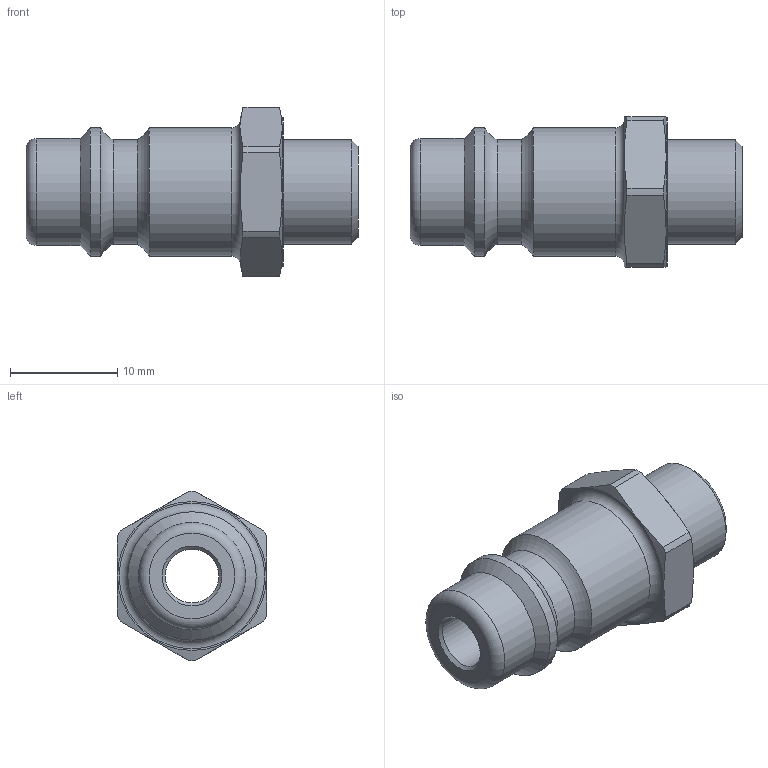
import cadquery as cq
import math

total_length = 31.0
nose_end = 5.05
collar_start = 6.0
collar_end = 6.95
groove_start = 8.15
groove_end = 10.4
body_start = 11.5
hex_start = 20.0
hex_end = 23.93
seat_face = 24.0

nose_radius = 5.0
body_radius = 6.0
groove_radius = 9.75 / 2
thread_radius = 9.73 / 2
bore_radius = 5.0 / 2

nose_rounding = 1.0
flank_arc_radius = 3.0
body_fillet = 0.8
thread_chamfer = 0.63
bore_chamfer = 0.3

across_flats = 14.0
corner_radius = 7.9
hex_face_radius = 6.95
hex_chamfer_angle = 15.0
hex_chamfer_depth = (corner_radius - hex_face_radius) * math.tan(math.radians(hex_chamfer_angle))


def revolve_about_x(outline):
    """Close an XY outline and turn it a full revolution about the X axis."""
    return outline.close().revolve(360, (0, 0, 0), (1, 0, 0))


def middle_of_concave_arc(start, end, radius):
    """Midpoint of an arc between two outline points that sags toward the axis."""
    chord = math.dist(start, end)
    sag = radius - math.sqrt(radius**2 - (chord / 2) ** 2)
    rise = end[1] - start[1]
    run = end[0] - start[0]
    return (
        (start[0] + end[0]) / 2 + sag * rise / chord,
        (start[1] + end[1]) / 2 - sag * run / chord,
    )


def make_turned_body():
    """Nose, collar, locking groove, body, hexagon seat and plain thread spigot."""
    collar_edge = (collar_end, body_radius)
    groove_left = (groove_start, groove_radius)
    groove_right = (groove_end, groove_radius)
    body_edge = (body_start, body_radius)
    arc_offset = 1 - math.sqrt(0.5)
    outline = (
        cq.Workplane("XY")
        .moveTo(0, 0)
        .lineTo(0, nose_radius - nose_rounding)
        .threePointArc(
            (nose_rounding * arc_offset, nose_radius - nose_rounding * arc_offset),
            (nose_rounding, nose_radius),
        )
        .lineTo(nose_end, nose_radius)
        .lineTo(collar_start, body_radius)
        .lineTo(*collar_edge)
        .threePointArc(middle_of_concave_arc(collar_edge, groove_left, flank_arc_radius), groove_left)
        .lineTo(*groove_right)
        .threePointArc(middle_of_concave_arc(groove_right, body_edge, flank_arc_radius), body_edge)
        .lineTo(hex_start - body_fillet, body_radius)
        .threePointArc(
            (hex_start - body_fillet * arc_offset, body_radius + body_fillet * arc_offset),
            (hex_start, body_radius + body_fillet),
        )
        .lineTo(hex_start, hex_face_radius)
        .lineTo(seat_face, hex_face_radius)
        .lineTo(seat_face, thread_radius)
        .lineTo(total_length - thread_chamfer, thread_radius)
        .lineTo(total_length, thread_radius - thread_chamfer)
        .lineTo(total_length, 0)
    )
    return revolve_about_x(outline)


def make_hexagon():
    """Hexagon with corners pointing along Z, rounded and chamfered on both faces."""
    prism = (
        cq.Workplane("YZ", origin=(hex_start, 0, 0))
        .polygon(6, across_flats, circumscribed=True)
        .extrude(hex_end - hex_start)
    )
    envelope = revolve_about_x(
        cq.Workplane("XY")
        .moveTo(hex_start, 0)
        .lineTo(hex_start, hex_face_radius)
        .lineTo(hex_start + hex_chamfer_depth, corner_radius)
        .lineTo(hex_end - hex_chamfer_depth, corner_radius)
        .lineTo(hex_end, hex_face_radius)
        .lineTo(hex_end, 0)
    )
    return prism.intersect(envelope)


def make_bore():
    """Through bore with a countersunk mouth at the nose."""
    return revolve_about_x(
        cq.Workplane("XY")
        .moveTo(0, 0)
        .lineTo(0, bore_radius + bore_chamfer)
        .lineTo(bore_chamfer, bore_radius)
        .lineTo(total_length, bore_radius)
        .lineTo(total_length, 0)
    )


result = make_turned_body().union(make_hexagon()).cut(make_bore())